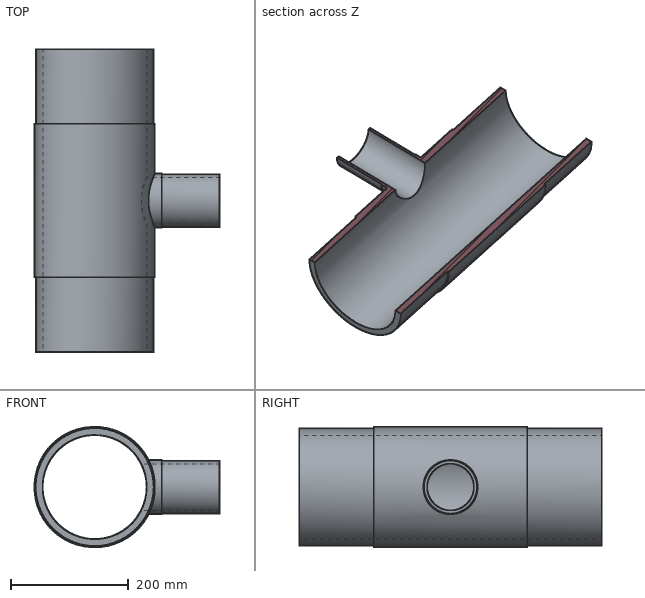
import cadquery as cq

run_length = 514.0
run_outer_diameter = 200.0
run_bore_diameter = 176.2

body_length = 260.0
body_diameter = 204.76

branch_reach = 212.0
branch_outer_diameter = 90.0
branch_bore_diameter = 79.2

collar_reach = 114.0
collar_diameter = 92.16


def run_cylinder(diameter, length):
    """Cylinder along Y, centred on the origin."""
    return cq.Workplane("XZ").circle(diameter / 2).extrude(length / 2, both=True)


def branch_cylinder(diameter, reach):
    """Cylinder along +X, starting on the main pipe axis."""
    return cq.Workplane("YZ").circle(diameter / 2).extrude(reach)


def outer_shape():
    """Solid tee before boring."""
    run = run_cylinder(run_outer_diameter, run_length)
    body = run_cylinder(body_diameter, body_length)
    branch = branch_cylinder(branch_outer_diameter, branch_reach)
    collar = branch_cylinder(collar_diameter, collar_reach)
    return run.union(body).union(branch).union(collar)


def bores():
    """Through bore of the main pipe joined by the bore of the branch."""
    run_bore = run_cylinder(run_bore_diameter, run_length)
    branch_bore = branch_cylinder(branch_bore_diameter, branch_reach)
    return run_bore.union(branch_bore)


result = outer_shape().cut(bores())